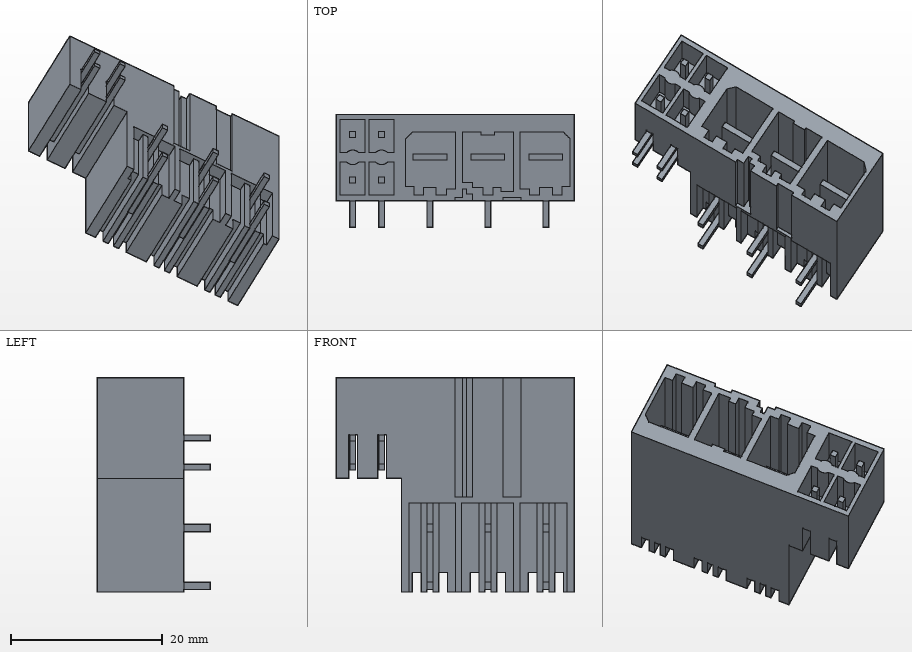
import cadquery as cq

LENGTH = 31.45
DEPTH = 11.42
HEIGHT = 28.3
STEP_X = 8.62
STEP_Z = 15.0

TAIL_END_Y = -3.5
WIRE = 0.8

SIGNAL_X = 2.2
SIGNAL_PITCH = 3.8
SIGNAL_COLUMNS = [SIGNAL_X, SIGNAL_X + SIGNAL_PITCH]
FRONT_ROW_Y = 2.75
BACK_ROW_Y = 8.75
PIN_TOP_Z = 27.1
FRONT_TAIL_TOP_Z = 20.73
BACK_TAIL_TOP_Z = 16.9
SIGNAL_CAVITY_WIDTH = 3.3
SIGNAL_CAVITY_DEPTH_Y = 13.9
SIGNAL_CAVITY_FLOOR_Z = 22.0
SIGNAL_WALL = 0.75
BULGE_CHORD = 1.6
BULGE_RISE = 1.1
SLOT_WIDTH = 1.13
SLOT_SHIFT = 0.05

POWER_X = 12.4
POWER_PITCH = 7.65
POWER_CENTERS = [POWER_X + i * POWER_PITCH for i in range(3)]
BLADE_WIDTH = 4.45
BLADE_Y = 5.75
BLADE_TOP_Z = 22.0
POWER_TAIL_HEIGHT = 1.0
LOWER_TAIL_Z = 0.3
UPPER_TAIL_Z = 7.95

POWER_CAVITY_FLOOR_Z = 12.52
POWER_BACK_Y = 9.05
NOTCH_Y = 0.8
TONGUE_Y = 1.8
OUTER_LEFT = 9.18
OUTER_RIGHT = 15.8
OUTER_CHAMFER = 0.88
OUTER_LEFT_Y = 1.92
OUTER_RIGHT_Y = 1.57
OUTER_NOTCH_1 = (10.28, 11.55)
OUTER_NOTCH_2 = (13.2, 14.55)
MIDDLE_LEFT = 16.67
MIDDLE_RIGHT = 23.4
MIDDLE_LEFT_STEP = (18.02, 2.45)
MIDDLE_NOTCH = (19.37, 20.7)
MIDDLE_RIGHT_STEP = (21.73, 1.23)
BACK_KEY_WIDTH = 1.8
BACK_KEY_HEIGHT = 0.35

GROOVE_DEPTH = 0.45
HOOK_DEPTH = 1.57
HOOK_STEP_DEPTH = 0.9
HOOK_GROOVE_X = (15.65, 16.67, 17.25, 18.02)
FLAT_GROOVE_X = (22.0, 24.4)

BAY_TOP_Z = 11.75
BAY_DEPTH = 1.57
BAYS = [(9.62, 15.8), (16.55, 23.4), (24.28, 30.45)]
WINDOW_WIDTH = 4.62
WINDOW_HEIGHT = 2.58
RIB_WIDTH = 0.8
RIB_FRONT_Y = 0.45


def block(x0, x1, y0, y1, z0, z1):
    """Box between two opposite corners."""
    return cq.Workplane("XY").box(x1 - x0, y1 - y0, z1 - z0, centered=False).translate((x0, y0, z0))


def from_top(points, floor_z):
    """Prism on a plan outline, from floor_z up to the top of the housing."""
    return cq.Workplane("XY").workplane(offset=floor_z).polyline(points).close().extrude(HEIGHT - floor_z)


def signal_pin(x, y, tail_top_z):
    half = WIRE / 2
    tail_bottom_z = tail_top_z - WIRE
    leg = block(x - half, x + half, y - half, y + half, tail_bottom_z, PIN_TOP_Z)
    tail = block(x - half, x + half, TAIL_END_Y, y + half, tail_bottom_z, tail_top_z)
    return leg.union(tail)


def power_contact(x):
    half = WIRE / 2
    back_y = BLADE_Y + half
    contact = block(x - BLADE_WIDTH / 2, x + BLADE_WIDTH / 2, BLADE_Y - half, back_y, BAY_TOP_Z, BLADE_TOP_Z)
    leg = block(x - half, x + half, BLADE_Y - half, back_y, LOWER_TAIL_Z, BAY_TOP_Z)
    contact = contact.union(leg)
    for z in (LOWER_TAIL_Z, UPPER_TAIL_Z):
        tail = block(x - half, x + half, TAIL_END_Y, back_y, z, z + POWER_TAIL_HEIGHT)
        contact = contact.union(tail)
    return contact


def signal_cavity(x, outer_y, inward):
    """Cavity from the outer wall at outer_y; inward is +1 or -1 along Y, toward the middle wall."""
    half = SIGNAL_CAVITY_WIDTH / 2
    inner_y = outer_y + inward * SIGNAL_CAVITY_DEPTH_Y
    return (
        cq.Workplane("XY")
        .workplane(offset=SIGNAL_CAVITY_FLOOR_Z)
        .moveTo(x - half, outer_y)
        .lineTo(x - half, inner_y)
        .lineTo(x - BULGE_CHORD / 2, inner_y)
        .threePointArc((x, inner_y - inward * BULGE_RISE), (x + BULGE_CHORD / 2, inner_y))
        .lineTo(x + half, inner_y)
        .lineTo(x + half, outer_y)
        .close()
        .extrude(HEIGHT - SIGNAL_CAVITY_FLOOR_Z)
    )


def signal_tail_slot(x):
    """Slot through the whole depth, open to the bottom."""
    left = x + SLOT_SHIFT - SLOT_WIDTH / 2
    return block(left, left + SLOT_WIDTH, 0, DEPTH, STEP_Z, FRONT_TAIL_TOP_Z)


def outer_power_cavity():
    """Cavity of the left power contact."""
    points = [
        (OUTER_LEFT, OUTER_LEFT_Y),
        (OUTER_NOTCH_1[0], OUTER_LEFT_Y),
        (OUTER_NOTCH_1[0], NOTCH_Y),
        (OUTER_NOTCH_1[1], NOTCH_Y),
        (OUTER_NOTCH_1[1], TONGUE_Y),
        (OUTER_NOTCH_2[0], TONGUE_Y),
        (OUTER_NOTCH_2[0], NOTCH_Y),
        (OUTER_NOTCH_2[1], NOTCH_Y),
        (OUTER_NOTCH_2[1], OUTER_RIGHT_Y),
        (OUTER_RIGHT, OUTER_RIGHT_Y),
        (OUTER_RIGHT, POWER_BACK_Y),
        (OUTER_LEFT + OUTER_CHAMFER, POWER_BACK_Y),
        (OUTER_LEFT, POWER_BACK_Y - OUTER_CHAMFER),
    ]
    return from_top(points, POWER_CAVITY_FLOOR_Z)


def middle_power_cavity():
    left_step_x, left_step_y = MIDDLE_LEFT_STEP
    right_step_x, right_step_y = MIDDLE_RIGHT_STEP
    key_left = POWER_CENTERS[1] - BACK_KEY_WIDTH / 2
    key_right = POWER_CENTERS[1] + BACK_KEY_WIDTH / 2
    key_y = POWER_BACK_Y - BACK_KEY_HEIGHT
    points = [
        (MIDDLE_LEFT, left_step_y),
        (left_step_x, left_step_y),
        (left_step_x, TONGUE_Y),
        (MIDDLE_NOTCH[0], TONGUE_Y),
        (MIDDLE_NOTCH[0], NOTCH_Y),
        (MIDDLE_NOTCH[1], NOTCH_Y),
        (MIDDLE_NOTCH[1], TONGUE_Y),
        (right_step_x, TONGUE_Y),
        (right_step_x, right_step_y),
        (MIDDLE_RIGHT, right_step_y),
        (MIDDLE_RIGHT, POWER_BACK_Y),
        (key_right, POWER_BACK_Y),
        (key_right, key_y),
        (key_left, key_y),
        (key_left, POWER_BACK_Y),
        (MIDDLE_LEFT, POWER_BACK_Y),
    ]
    return from_top(points, POWER_CAVITY_FLOOR_Z)


def hook_groove():
    """Stepped coding groove in the front face."""
    left, hook_left, hook_right, right = HOOK_GROOVE_X
    points = [
        (left, 0),
        (left, GROOVE_DEPTH),
        (hook_left, GROOVE_DEPTH),
        (hook_left, HOOK_DEPTH),
        (hook_right, HOOK_DEPTH),
        (hook_right, HOOK_STEP_DEPTH),
        (right, HOOK_STEP_DEPTH),
        (right, 0),
    ]
    return from_top(points, POWER_CAVITY_FLOOR_Z)


def flat_groove():
    left, right = FLAT_GROOVE_X
    return block(left, right, 0, GROOVE_DEPTH, POWER_CAVITY_FLOOR_Z, HEIGHT)


def tail_bay(x, left, right):
    """Open bay with a window to the back and a channel for the leg, less two ribs beside the tails."""
    bay = block(left, right, 0, BAY_DEPTH, 0, BAY_TOP_Z)
    window = block(x - WINDOW_WIDTH / 2, x + WINDOW_WIDTH / 2, 0, DEPTH, 0, WINDOW_HEIGHT)
    leg_channel = block(x - WIRE / 2, x + WIRE / 2, 0, BLADE_Y + WIRE / 2, 0, BAY_TOP_Z)
    bay = bay.union(window).union(leg_channel)
    for rib_left in (x - WIRE / 2 - RIB_WIDTH, x + WIRE / 2):
        bay = bay.cut(block(rib_left, rib_left + RIB_WIDTH, RIB_FRONT_Y, DEPTH, 0, BAY_TOP_Z))
    return bay


def make_housing():
    body = block(0, LENGTH, 0, DEPTH, STEP_Z, HEIGHT)
    body = body.union(block(STEP_X, LENGTH, 0, DEPTH, 0, HEIGHT))
    for x in SIGNAL_COLUMNS:
        body = body.cut(signal_cavity(x, SIGNAL_WALL, 0.3))
        body = body.cut(signal_cavity(x, FRONT_ROW_Y + BACK_ROW_Y - SIGNAL_WALL, -0.3))
        body = body.cut(signal_tail_slot(x))
    left_cavity = outer_power_cavity()
    body = body.cut(left_cavity)
    body = body.cut(left_cavity.mirror("YZ", (POWER_CENTERS[1], 0, 0)))
    body = body.cut(middle_power_cavity())
    body = body.cut(hook_groove())
    body = body.cut(flat_groove())
    for x, (left, right) in zip(POWER_CENTERS, BAYS):
        body = body.cut(tail_bay(x, left, right))
    return body


signal_pins = []
for column_x in SIGNAL_COLUMNS:
    signal_pins.append(signal_pin(column_x, FRONT_ROW_Y, FRONT_TAIL_TOP_Z))
    signal_pins.append(signal_pin(column_x, BACK_ROW_Y, BACK_TAIL_TOP_Z))
power_contacts = [power_contact(x) for x in POWER_CENTERS]

housing = make_housing()
for contact in signal_pins + power_contacts:
    housing = housing.cut(contact)

bodies = [housing, *signal_pins, *power_contacts]
result = cq.Compound.makeCompound([body.solids().val() for body in bodies])